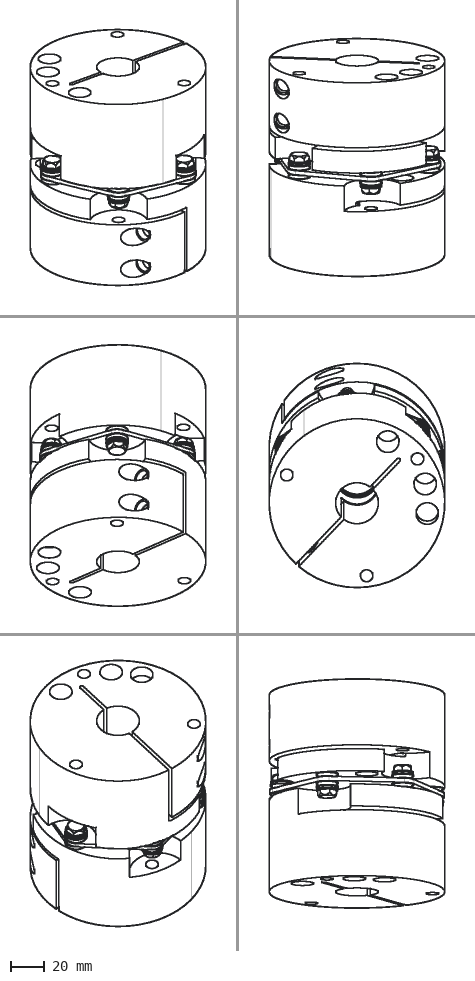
import cadquery as cq
import math


length = 118.4
outer_radius = 52.0
bore_diameter = 25.2
mid_height = length / 2
over = 2.4

hub_gap = 8.0
clamp_thickness = 39.7
slit_height = 2.2
hub_bottom = mid_height + hub_gap / 2
clamp_bottom = length - clamp_thickness
flange_top = clamp_bottom - slit_height
hub_flip_angle = 60.0

slot_angle = 100.0
slot_width = 2.2
slot_closed_reach = 37.2
slit_corner_radius = 1.2

bolt_circle_radius = 45.0
upper_bolt_angles = (30, 150, 270)
bolt_count = 6
pocket_radius = 17.3
pocket_circle_radius = 53.3
access_hole_diameter = 7.3

blind_diameter = 13.3
blind_circle_radius = 42.0
drill_point_angle = 118.0
shallow_depth = 7.0
deep_depth = 23.7
top_blind_holes = ((224, shallow_depth), (249, deep_depth), (297, deep_depth))
flange_blind_angle = 241.0
flange_blind_depth = 8.2

screw_offset = 39.9
screw_depths = (10.5, 31.4)
screw_hole_diameter = 11.1
screw_recess_diameter = 9.0
screw_hole_floor = 24.9
screw_face = 20.1

plate_thickness = 2.6
plate_corner_radius = outer_radius - bolt_circle_radius
spacer_diameter = 13.1
spacer_height = (hub_gap - plate_thickness) / 2
spacer_rim = 0.4
spacer_groove_depth = 1.0
washer_diameter = 11.8
washer_height = 1.2
collar_diameter = 12.5
collar_height = 0.8
head_corner_diameter = 11.6
head_sides = 6
head_height = 3.7
head_chamfer_height = 1.0
head_chamfer_width = 1.7
head_turn = -10.0


def polar(radius, angle):
    """Point at a radius and an angle in degrees."""
    return (radius * math.cos(math.radians(angle)), radius * math.sin(math.radians(angle)))


def cylinder(diameter, bottom, top, center=(0, 0)):
    """Vertical cylinder between two heights."""
    return cq.Workplane("XY", origin=(*center, bottom)).circle(diameter / 2).extrude(top - bottom)


def turn(shape, angle):
    """Turn a shape about the coupling axis."""
    return shape.rotate((0, 0, 0), (0, 0, 1), angle)


def flip(shape):
    """Half turn about the horizontal axis that carries the upper hub to the lower one."""
    axis_x, axis_y = polar(1.2, hub_flip_angle)
    return shape.rotate((0, 0, mid_height), (axis_x, axis_y, mid_height), 180)


def drilled_hole(depth):
    """Cutter of a blind hole with a drill point, going down from the origin."""
    radius = blind_diameter / 2
    tip_depth = depth + radius / math.tan(math.radians(drill_point_angle / 2))
    profile = cq.Workplane("XZ").polyline([(0, 0), (radius, 0), (radius, -depth), (0, -tip_depth)])
    return profile.close().revolve(360, (0, 0, 0), (0, 1, 0))


def clamp_slot():
    """Vertical slot through the clamp, open at one side and round at its closed end."""
    reach = outer_radius + over
    height = clamp_thickness + over
    start = slot_width / 2 - slot_closed_reach
    straight = (
        cq.Workplane("XY", origin=(0, 0, clamp_bottom))
        .center((start + reach) / 2, 0)
        .rect(reach - start, slot_width)
        .extrude(height)
    )
    return straight.union(cylinder(slot_width, clamp_bottom, length + over, (start, 0)))


def flange_slit():
    """Horizontal slit freeing one half of the clamp, rounded along its inner flange edge."""
    reach = outer_radius + over
    width = reach + slot_width / 2
    return (
        cq.Workplane("XY", origin=(0, width / 2 - slot_width / 2, flange_top))
        .rect(2 * reach, width)
        .extrude(slit_height)
        .edges("<Y and <Z")
        .fillet(slit_corner_radius)
    )


def screw_holes():
    """Stepped clamp screw holes, entering square to the slot; the screws fill the rest."""
    screw_hole_steps = (
        (screw_hole_diameter, screw_hole_floor),
        (screw_recess_diameter, screw_face),
    )
    holes = cq.Workplane("XY")
    for depth in screw_depths:
        for diameter, floor in screw_hole_steps:
            hole = (
                cq.Workplane("XZ", origin=(screw_offset, floor, length - depth))
                .circle(diameter / 2)
                .extrude(-outer_radius)
            )
            holes = holes.union(hole)
    return holes


def clamp_screws():
    """Screw shanks bridging the slot."""
    screws = cq.Workplane("XY")
    for depth in screw_depths:
        shank = (
            cq.Workplane("XZ", origin=(screw_offset, -slot_width, length - depth))
            .circle(screw_recess_diameter / 2)
            .extrude(-(slot_width + screw_face))
        )
        screws = screws.union(shank)
    return screws


def upper_hub():
    hub = cylinder(2 * outer_radius, hub_bottom, length)
    hub = hub.cut(cylinder(bore_diameter, hub_bottom - over, length + over))

    for cutter in (clamp_slot(), flange_slit(), screw_holes()):
        hub = hub.cut(turn(cutter, slot_angle))
    hub = hub.union(turn(clamp_screws(), slot_angle))

    for angle in upper_bolt_angles:
        pocket_center = polar(pocket_circle_radius, angle)
        bolt_center = polar(bolt_circle_radius, angle)
        hub = hub.cut(cylinder(2 * pocket_radius, hub_bottom - over, clamp_bottom, pocket_center))
        hub = hub.cut(cylinder(access_hole_diameter, hub_bottom, length + over, bolt_center))

    for angle, depth in top_blind_holes:
        hub = hub.cut(drilled_hole(depth).translate((*polar(blind_circle_radius, angle), length)))

    flange_hole = drilled_hole(flange_blind_depth).rotate((0, 0, 0), (1, 0, 0), 180)
    return hub.cut(flange_hole.translate((*polar(blind_circle_radius, flange_blind_angle), hub_bottom)))


def disc_pack():
    """Hexagonal plate with round corners about the bolts and a central bore."""
    hexagon_radius = bolt_circle_radius + plate_corner_radius / math.cos(math.pi / bolt_count)
    plate = (
        cq.Workplane("XY", origin=(0, 0, mid_height - plate_thickness / 2))
        .polygon(bolt_count, 2 * hexagon_radius)
        .extrude(plate_thickness)
    )
    plate = turn(plate, upper_bolt_angles[0])
    plate = plate.edges("|Z").fillet(plate_corner_radius)
    return plate.cut(cylinder(bore_diameter, 0, length))


def spacer(bottom):
    """Spacer ring with a round groove about its waist."""
    rim = spacer_diameter / 2
    top = bottom + spacer_height
    return (
        cq.Workplane("XZ")
        .moveTo(0, bottom)
        .lineTo(rim, bottom)
        .lineTo(rim, bottom + spacer_rim)
        .threePointArc((rim - spacer_groove_depth, (bottom + top) / 2), (rim, top - spacer_rim))
        .lineTo(rim, top)
        .lineTo(0, top)
        .close()
        .revolve(360, (0, 0, 0), (0, 1, 0))
    )


def bolt_stack():
    """Spacers on both sides of the plate, then washer, collar and hexagon head on top."""
    washer_top = hub_bottom + washer_height
    collar_top = washer_top + collar_height
    head_top = collar_top + head_height
    head = (
        cq.Workplane("XY", origin=(0, 0, collar_top))
        .polygon(head_sides, head_corner_diameter)
        .extrude(head_height)
    )
    head_rounding = (
        cylinder(head_corner_diameter, collar_top, head_top)
        .faces(">Z")
        .chamfer(head_chamfer_width, head_chamfer_height)
    )
    return (
        spacer(hub_bottom - hub_gap)
        .union(spacer(mid_height + plate_thickness / 2))
        .union(cylinder(washer_diameter, hub_bottom, washer_top))
        .union(cylinder(collar_diameter, washer_top, collar_top))
        .union(turn(head.intersect(head_rounding), head_turn))
    )


hub = upper_hub()
result = disc_pack().union(hub).union(flip(hub))
for bolt_angle in upper_bolt_angles:
    bolt = bolt_stack().translate((*polar(bolt_circle_radius, bolt_angle), 0))
    result = result.union(bolt).union(flip(bolt))